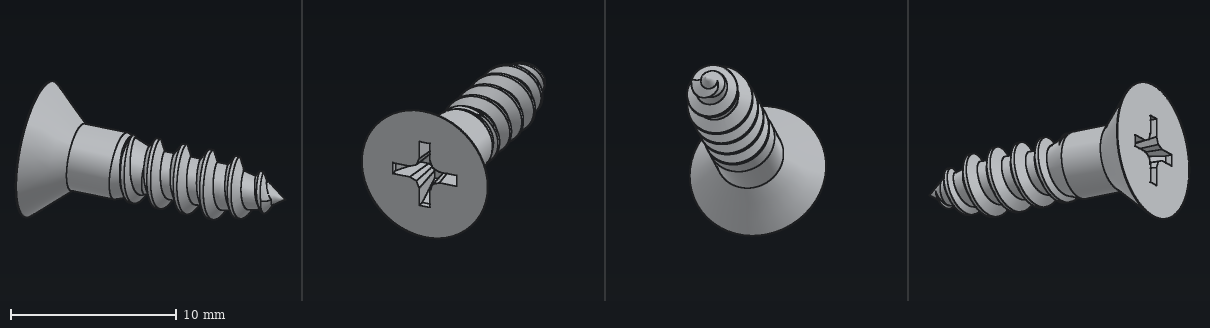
import cadquery as cq
import math


HEAD_RADIUS = 4.215
HEAD_RIM = 0.06
HEAD_HALF_ANGLE = math.radians(41)
SHANK_RADIUS = 2.08
SHANK_END = 5.27
CORE_RADIUS = 1.41
CORE_START = 7.11
TIP_START = 14.6
TIP_BASE_RADIUS = 0.87
LENGTH = 15.88

PITCH = 1.70
CREST_RADIUS = SHANK_RADIUS
CREST_WIDTH = 0.24
FLANK_SLOPE = 0.62
CREST_TAPER = 0.35
THREAD_DEPTH = 0.75
THREAD_PHASE_X = 5.31
THREAD_TURNS = 6
PARALLEL_TURNS = 4
TAPER_START = THREAD_PHASE_X + PITCH * PARALLEL_TURNS
POINTS_PER_TURN = 24

RUN_IN_START = 5.64
RUN_IN_SLOPE = 1.2
RUN_OUT_X = 14.87
RUN_OUT_RADIUS = 0.93
LIMIT_CLEARANCE = 1.0

ARM_STRAIGHT_DEPTH = 0.45
ARM_END_ANGLE = math.radians(26.5)
ARM_WIDTH = 0.72
ARM_REACH_FACE = 2.14
ARM_REACH_FLOOR = 1.26
RECESS_DEPTH = ARM_STRAIGHT_DEPTH + (ARM_REACH_FACE - ARM_REACH_FLOOR) / math.tan(ARM_END_ANGLE)
CORNER_SIZE_FACE = 0.63
CORNER_SIZE_FLOOR = 0.40


def revolve_about_x(points):
    """Turn a closed (x, radius) outline about the X axis."""
    profile = cq.Workplane("XY").polyline([(x, -radius) for x, radius in points]).close()
    return profile.revolve(360, (0, 0, 0), (1, 0, 0))


def make_body():
    """Head, shank, tapered core and point, without thread or recess."""
    head_end = HEAD_RIM + (HEAD_RADIUS - SHANK_RADIUS) / math.tan(HEAD_HALF_ANGLE)
    return revolve_about_x([
        (0, 0),
        (0, HEAD_RADIUS),
        (HEAD_RIM, HEAD_RADIUS),
        (head_end, SHANK_RADIUS),
        (SHANK_END, SHANK_RADIUS),
        (CORE_START, CORE_RADIUS),
        (TAPER_START, CORE_RADIUS),
        (TIP_START, TIP_BASE_RADIUS),
        (LENGTH, 0),
    ])


def thread_section(turn):
    """Corners of the thread's trapezoid after a number of turns: root, crest, crest, root."""
    center_x = THREAD_PHASE_X + PITCH * turn
    crest = CREST_RADIUS - CREST_TAPER * max(0, center_x - TAPER_START)
    root = crest - THREAD_DEPTH
    half_crest = CREST_WIDTH / 2
    half_root = half_crest + FLANK_SLOPE * THREAD_DEPTH
    angle = 2 * math.pi * turn
    corners = [(-half_root, root), (-half_crest, crest), (half_crest, crest), (half_root, root)]
    return [
        cq.Vector(center_x + offset, radius * math.cos(angle), radius * math.sin(angle))
        for offset, radius in corners
    ]


def ridge_faces(turn):
    """The root, flank and crest faces along one whole turn that begins at the given count."""
    sections = [thread_section(turn + i / POINTS_PER_TURN) for i in range(POINTS_PER_TURN + 1)]
    helices = [cq.Edge.makeSpline(list(corner_path)) for corner_path in zip(*sections)]
    following = helices[1:] + helices[:1]
    return [cq.Face.makeRuledSurface(edge, neighbor) for edge, neighbor in zip(helices, following)]


def make_ridge():
    """Solid helical ridge, its faces split at every turn so that they join cleanly to the core."""
    faces = []
    for turn in range(THREAD_TURNS):
        faces.extend(ridge_faces(turn))
    for end_turn in (0, THREAD_TURNS):
        end_outline = cq.Wire.makePolygon(thread_section(end_turn), close=True)
        faces.append(cq.Face.makeFromWires(end_outline))
    solid = cq.Solid.makeSolid(cq.Shell.makeShell(faces))
    return cq.Workplane(obj=cq.Shape.cast(solid.fix().wrapped))


def make_thread_limits():
    """Turned blank whose end cones give the thread its run-in and run-out."""
    outer = CREST_RADIUS + LIMIT_CLEARANCE
    cone_slope = (SHANK_RADIUS - CORE_RADIUS) / (CORE_START - SHANK_END)
    run_in_radius = SHANK_RADIUS - cone_slope * (RUN_IN_START - SHANK_END)
    return revolve_about_x([
        (RUN_IN_START - RUN_IN_SLOPE * run_in_radius, 0),
        (RUN_IN_START + RUN_IN_SLOPE * (outer - run_in_radius), outer),
        (RUN_OUT_X - FLANK_SLOPE * (outer - RUN_OUT_RADIUS), outer),
        (RUN_OUT_X + FLANK_SLOPE * RUN_OUT_RADIUS, 0),
    ])


def make_recess_arms():
    """Two crossing slots whose ends drop straight and then slope in to the floor."""
    end_profile = [
        (0, -ARM_REACH_FACE),
        (ARM_STRAIGHT_DEPTH, -ARM_REACH_FACE),
        (RECESS_DEPTH, -ARM_REACH_FLOOR),
        (RECESS_DEPTH, ARM_REACH_FLOOR),
        (ARM_STRAIGHT_DEPTH, ARM_REACH_FACE),
        (0, ARM_REACH_FACE),
    ]
    slot = cq.Workplane("XY").polyline(end_profile).close().extrude(ARM_WIDTH / 2, both=True)
    return slot.union(slot.rotate((0, 0, 0), (1, 0, 0), 90))


def recess_core_outline(x, corner_size):
    """Outline of the recess center, two flats cutting across each inner corner of the cross."""
    half = ARM_WIDTH / 2
    far = half + corner_size
    middle = far - corner_size * math.sqrt(0.5)
    points = []
    for quarter in range(4):
        c = round(math.cos(quarter * math.pi / 2))
        s = round(math.sin(quarter * math.pi / 2))
        for y, z in [(far, -half), (far, half), (middle, middle)]:
            points.append((y * c - z * s, y * s + z * c))
    return cq.Workplane("YZ", origin=(x, 0, 0)).polyline(points).close().val()


def make_recess():
    """Cross recess that narrows from the head face to a flat floor."""
    face = recess_core_outline(0, CORNER_SIZE_FACE)
    floor = recess_core_outline(RECESS_DEPTH, CORNER_SIZE_FLOOR)
    core = cq.Workplane(obj=cq.Solid.makeLoft([face, floor], True))
    return make_recess_arms().union(core)


thread = make_ridge().intersect(make_thread_limits())
result = make_body().union(thread).cut(make_recess())